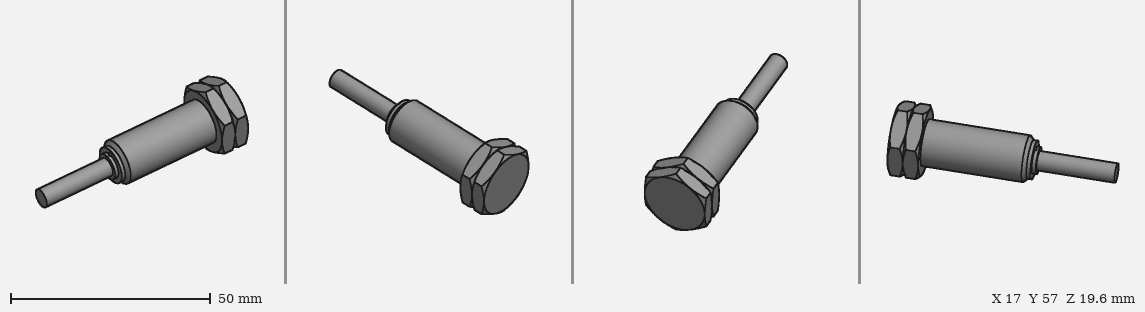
import cadquery as cq
import math

total_length = 57.0
nut_thickness = 4.0
nut_count = 2
nut_sides = 6
cable_length = 20.0
step_length = 1.0

nut_across_flats = 17.0
nut_face_diameter = 16.9
body_diameter = 11.95
collar_diameter = body_diameter - 2 * step_length
boss_diameter = 7.0
cable_diameter = 5.0

nut_chamfer_angle = 30.0

lamp_radius = 0.5
lamp_height = 4.0

boss_end = total_length - cable_length
collar_end = boss_end - step_length
chamfer_end = collar_end - step_length


def rod(diameter, start, end):
    """Cylinder on the part axis between two distances from the sensing face."""
    return cq.Workplane("XZ", origin=(0, -start, 0)).circle(diameter / 2).extrude(end - start)


def hex_nut(start):
    """Hexagon with corners up and down, both ends turned to a cone."""
    corner_diameter = nut_across_flats / math.cos(math.pi / nut_sides)
    hexagon = (
        cq.Workplane("XZ", origin=(0, -start, 0))
        .transformed(rotate=(0, 0, 90))
        .polygon(nut_sides, corner_diameter)
        .extrude(nut_thickness)
    )
    cone_width = (corner_diameter - nut_face_diameter) / 2
    cone_depth = cone_width * math.tan(math.radians(nut_chamfer_angle))
    end = start + nut_thickness
    envelope = (
        cq.Workplane("XY")
        .moveTo(0, -start)
        .lineTo(nut_face_diameter / 2, -start)
        .lineTo(corner_diameter / 2, -start - cone_depth)
        .lineTo(corner_diameter / 2, -end + cone_depth)
        .lineTo(nut_face_diameter / 2, -end)
        .lineTo(0, -end)
        .close()
        .revolve(360, (0, 0, 0), (0, 1, 0))
    )
    return hexagon.intersect(envelope)


body = rod(body_diameter, 0, chamfer_end).faces("<Y").chamfer(step_length)
collar = rod(collar_diameter, chamfer_end, collar_end)
boss = rod(boss_diameter, collar_end, boss_end)
cable = rod(cable_diameter, boss_end, total_length)
result = body.union(collar).union(boss).union(cable)

for index in range(nut_count):
    result = result.union(hex_nut(index * nut_thickness))

lamp = cq.Workplane("XY").sphere(lamp_radius).translate((0, -collar_end, lamp_height))
result = result.union(lamp)